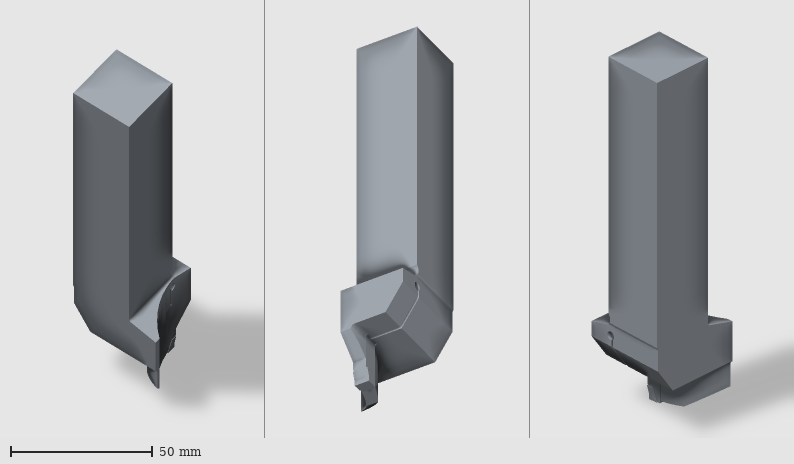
import cadquery as cq
import math

overall_length = 150.0
shank_size = 25.0
head_depth = 34.0
head_width = 36.88
head_bottom = 19.7
shoulder_angle = math.radians(15)
shoulder_slope = math.tan(shoulder_angle)

step_depth = 0.45
step_top = 40.3
step_bottom = 39.2
chamfer_width = 7.2
chamfer_height = 10.7

right_shoulder_top = 39.3
right_shoulder_radius = 1.0

rear_shoulder_height = 36.6
relief_radius = 3.0
relief_depth = 1.0

blade_radius = 25.7
blade_left = 20.4
blade_axis_x = blade_left + blade_radius
blade_axis_y = shank_size
blade_bottom = 1.1
blade_corner_y = 11.5
blade_front_y = 1.0
blade_front_bottom = 8.8
blade_flare = 1.7

bore_radius = 29.5
bore_left = 25.65
bore_axis_x = bore_left + bore_radius
bore_axis_y = 25.4
clearance_angle = math.radians(5)

jaw_top = 18.2
jaw_tip_bottom = 9.3

insert_low_y = 19.9
insert_high_y = 26.3
insert_length = 25.0
insert_right = bore_left
edge_left = 19.95
edge_right = 25.95
edge_height = 5.5
rake_top = 6.2
rake_bottom = 2.2
edge_corner = 0.25
rake_y = 24.9
relief_rise = 0.4
land_top_y = 23.7
land_bottom_y = 21.2

slot_width = 1.0
slot_low_y = 23.0
slot_hole_radius = 1.65
slot_hole_y = 24.2
slot_hole_z = 34.8


def front_block():
    """Shank and head outline, extruded through the full depth."""
    shoulder_end = right_shoulder_top - (head_width - shank_size) * shoulder_slope
    block = (
        cq.Workplane("XZ")
        .moveTo(0, overall_length)
        .lineTo(shank_size, overall_length)
        .lineTo(shank_size, right_shoulder_top)
        .lineTo(head_width, shoulder_end)
        .lineTo(head_width, head_bottom)
        .lineTo(step_depth + chamfer_width, head_bottom)
        .lineTo(step_depth, head_bottom + chamfer_height)
        .lineTo(step_depth, step_bottom)
        .lineTo(0, step_top)
        .close()
        .extrude(-head_depth)
    )
    corner = cq.selectors.NearestToPointSelector((shank_size, head_depth / 2, right_shoulder_top))
    return block.edges(corner).fillet(right_shoulder_radius)


def blade_drum():
    """Round drum of the blade, flaring with a concave fillet into the head, trimmed to the head size."""
    flare_bottom = head_bottom - blade_flare
    arc_middle = blade_flare * (1 - math.sqrt(0.5))
    drum = (
        cq.Workplane("XZ")
        .moveTo(0, 0)
        .lineTo(blade_radius, 0)
        .lineTo(blade_radius, flare_bottom)
        .threePointArc(
            (blade_radius + arc_middle, head_bottom - arc_middle),
            (blade_radius + blade_flare, head_bottom),
        )
        .lineTo(0, head_bottom)
        .close()
        .revolve(360, (0, 0), (0, 1))
        .translate((blade_axis_x, blade_axis_y, 0))
    )
    return drum.intersect(cq.Workplane("XY").box(head_width, head_depth, overall_length, centered=False))


def side_envelope():
    """Side outline of the shank, rear shoulder, jaw and blade, extruded through the width."""
    relief_y = shank_size - relief_depth + relief_radius
    tangent_y = relief_y - relief_radius * math.sin(shoulder_angle)
    tangent_z = rear_shoulder_height + (head_depth - tangent_y) * shoulder_slope
    relief_z = tangent_z + relief_radius * math.cos(shoulder_angle)
    relief_top = relief_z + math.sqrt(relief_radius**2 - (relief_y - shank_size) ** 2)
    return (
        cq.Workplane("YZ")
        .moveTo(0, overall_length)
        .lineTo(shank_size, overall_length)
        .lineTo(shank_size, relief_top)
        .threePointArc((relief_y - relief_radius, relief_z), (tangent_y, tangent_z))
        .lineTo(head_depth, rear_shoulder_height)
        .lineTo(head_depth, jaw_top)
        .lineTo(insert_high_y, jaw_tip_bottom)
        .lineTo(insert_high_y, blade_bottom)
        .lineTo(blade_corner_y, blade_bottom)
        .lineTo(blade_front_y, blade_front_bottom)
        .lineTo(0, blade_front_bottom)
        .close()
        .extrude(head_width)
    )


def bore_cutter():
    """Everything right of the bore arc and its tangent clearance face."""
    front_y = bore_axis_y - bore_radius
    diagonal = bore_radius * math.sqrt(0.5)
    tangent_x = bore_axis_x - bore_radius * math.cos(clearance_angle)
    tangent_y = bore_axis_y + bore_radius * math.sin(clearance_angle)
    rear_x = tangent_x + (head_depth - tangent_y) * math.tan(clearance_angle)
    return (
        cq.Workplane("XY")
        .moveTo(bore_axis_x, front_y)
        .threePointArc(
            (bore_axis_x - diagonal, bore_axis_y - diagonal),
            (tangent_x, tangent_y),
        )
        .lineTo(rear_x, head_depth)
        .lineTo(bore_axis_x, head_depth)
        .close()
        .extrude(overall_length)
    )


def insert_pocket():
    """Channel for the insert, open at the right, and cleared through the flare at the left."""
    channel = cq.Workplane("XY").box(
        head_width - blade_left, insert_high_y - insert_low_y, insert_length, centered=False
    )
    flare_clearance = cq.Workplane("XY").box(
        blade_left, insert_high_y - insert_low_y, head_bottom, centered=False
    )
    return (
        channel.translate((blade_left, insert_low_y, 0))
        .union(flare_clearance.translate((0, insert_low_y, 0)))
    )


def clamping_slot():
    """Narrow slot from the pocket up to a relief hole, cut through the full width."""
    slot = (
        cq.Workplane("XY")
        .box(head_width, slot_width, slot_hole_z - head_bottom, centered=False)
        .translate((0, slot_low_y, head_bottom))
    )
    hole = (
        cq.Workplane("YZ")
        .center(slot_hole_y, slot_hole_z)
        .circle(slot_hole_radius)
        .extrude(head_width)
    )
    return slot.union(hole)


def make_holder():
    return (
        front_block()
        .union(blade_drum())
        .intersect(side_envelope())
        .cut(bore_cutter())
        .cut(insert_pocket())
        .cut(clamping_slot())
    )


def insert_body():
    """Long bar of the insert, with a sloped chip face above the cutting edge."""
    return (
        cq.Workplane("YZ", origin=(blade_left, 0, 0))
        .moveTo(insert_low_y, insert_length)
        .lineTo(insert_high_y, insert_length)
        .lineTo(insert_high_y, rake_top)
        .lineTo(rake_y, rake_bottom)
        .lineTo(rake_y, 0)
        .lineTo(insert_low_y, relief_rise)
        .close()
        .extrude(insert_right - blade_left)
    )


def cutting_edge():
    """Wider land around the cutting edge, with rounded lower corners."""
    rake_slope = (insert_high_y - rake_y) / (rake_top - rake_bottom)
    land_rear_y = rake_y + (edge_height - rake_bottom) * rake_slope
    land_rise = relief_rise * (rake_y - land_bottom_y) / (rake_y - insert_low_y)
    land = (
        cq.Workplane("YZ", origin=(edge_left, 0, 0))
        .moveTo(rake_y, 0)
        .lineTo(rake_y, rake_bottom)
        .lineTo(land_rear_y, edge_height)
        .lineTo(land_top_y, edge_height)
        .lineTo(land_bottom_y, land_rise)
        .close()
        .extrude(edge_right - edge_left)
    )
    corners = land.faces("<Z").edges("<X or >X")
    return corners.fillet(edge_corner)


def make_insert():
    return insert_body().union(cutting_edge())


holder = make_holder()
insert = make_insert()

result = cq.Compound.makeCompound([holder.solids().val(), insert.solids().val()])